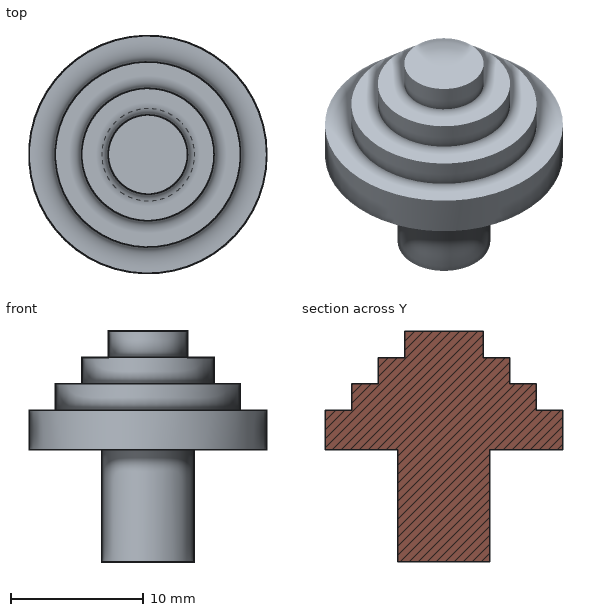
import cadquery as cq

flange_diameter = 18.0
flange_height = 3.0
step_diameters = [14.0, 10.0, 6.0]
step_height = 2.0
stem_diameter = 7.0
stem_length = 8.5


def disc(diameter, height, base_z):
    """Solid cylinder on the Z axis, standing on base_z."""
    return cq.Workplane("XY", origin=(0, 0, base_z)).circle(diameter / 2).extrude(height)


result = disc(stem_diameter, stem_length, 0)
result = result.union(disc(flange_diameter, flange_height, stem_length))

steps_base_z = stem_length + flange_height
for index, diameter in enumerate(step_diameters):
    result = result.union(disc(diameter, step_height, steps_base_z + index * step_height))